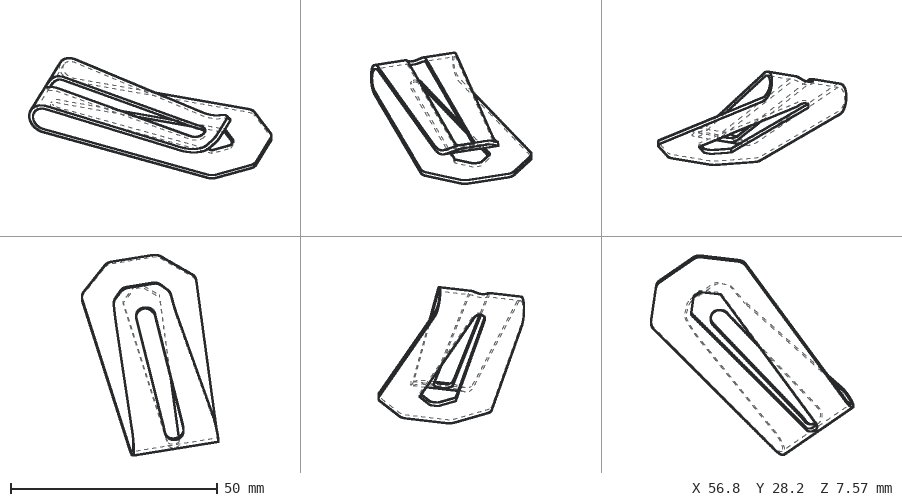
import cadquery as cq
import math


thickness = 1.0
clip_height = 7.57
clip_length = 56.76
arm_slope = math.radians(9.05)
curl_end_slope = math.radians(50.3)
curl_radius = 9.06
curl_gap = 0.05

side_taper = 0.0745
half_width_at_bend = 10.845
plate_end_half_width = 6.15
arm_end_half_width = 4.25
corner_radius = 2.5

plate_slot_tip_x = 48.7
plate_slot_tip_half_width = 0.95
plate_slot_tip_radius = 1.0
plate_slot_half_width = 1.43
plate_slot_round_s = 0.5
arm_slot_half_width = 2.335
arm_slot_start_s = 7.0
arm_slot_past_curl_start = 3.7

bend_outer_radius = clip_height / 2
bend_radius = bend_outer_radius - thickness / 2
bend_angle = math.pi + arm_slope
curl_angle = arm_slope + curl_end_slope
arm_start_x = bend_outer_radius + bend_radius * math.sin(arm_slope)
arm_start_z = bend_outer_radius + bend_radius * math.cos(arm_slope)
curl_center_z = thickness + thickness / 2 + curl_gap + curl_radius
curl_start_z = curl_center_z - curl_radius * math.cos(arm_slope)
arm_length = (arm_start_z - curl_start_z) / math.sin(arm_slope)
curl_center_x = arm_start_x + arm_length * math.cos(arm_slope) + curl_radius * math.sin(arm_slope)

plate_end_s = bend_outer_radius - clip_length
bend_end_s = bend_radius * bend_angle
curl_start_s = bend_end_s + arm_length
curl_end_s = curl_start_s + curl_radius * curl_angle

plate_direction = cq.Vector(1, 0, 0)
arm_direction = cq.Vector(math.cos(arm_slope), 0, -math.sin(arm_slope))
across = cq.Vector(0, 1, 0)


def blank_outline():
    """Long octagon with tapered sides and rounded 45 degree corners."""
    plate_shoulder_s = (half_width_at_bend - plate_end_half_width + plate_end_s) / (1 + side_taper)
    arm_shoulder_s = (curl_end_s + arm_end_half_width - half_width_at_bend) / (1 - side_taper)
    upper_points = [
        (plate_end_s, plate_end_half_width),
        (plate_shoulder_s, half_width_at_bend - side_taper * plate_shoulder_s),
        (arm_shoulder_s, half_width_at_bend - side_taper * arm_shoulder_s),
        (curl_end_s, arm_end_half_width),
    ]
    lower_points = [(s, -y) for s, y in reversed(upper_points)]
    outline = cq.Workplane().polyline(upper_points + lower_points).close().wire().val()
    return outline.fillet2D(corner_radius, outline.Vertices())


def plate_slot():
    """Slot widening toward a blunt 45 degree point, round where it enters the bend."""
    tip_s = bend_outer_radius - plate_slot_tip_x
    shoulder_s = (plate_slot_half_width - plate_slot_tip_half_width + tip_s) / (1 + side_taper)
    shoulder_half_width = plate_slot_half_width - side_taper * shoulder_s
    outline = (
        cq.Workplane()
        .moveTo(plate_slot_round_s, -plate_slot_half_width)
        .lineTo(shoulder_s, -shoulder_half_width)
        .lineTo(tip_s, -plate_slot_tip_half_width)
        .lineTo(tip_s, plate_slot_tip_half_width)
        .lineTo(shoulder_s, shoulder_half_width)
        .lineTo(plate_slot_round_s, plate_slot_half_width)
        .threePointArc(
            (plate_slot_round_s + plate_slot_half_width, 0),
            (plate_slot_round_s, -plate_slot_half_width),
        )
        .wire()
        .val()
    )
    tip_corners = [corner for corner in outline.Vertices() if corner.X < shoulder_s - plate_slot_tip_radius]
    return outline.fillet2D(plate_slot_tip_radius, tip_corners)


def arm_slot():
    """Straight slot with round ends, from the bend into the curl."""
    end_s = curl_start_s + arm_slot_past_curl_start
    middle_s = (arm_slot_start_s + end_s) / 2
    slot = cq.Workplane().center(middle_s, 0).slot2D(end_s - arm_slot_start_s, 2 * arm_slot_half_width)
    return slot.wire().val()


def stretch(start_s, end_s):
    """Part of the blank between two lengths, moved so that it starts at S = 0."""
    middle_s = (start_s + end_s) / 2
    border = cq.Workplane().center(middle_s, 0).rect(end_s - start_s, clip_length).wire().val()
    window = cq.Face.makeFromWires(border)
    return blank.intersect(window).translate(cq.Vector(-start_s, 0, 0)).Faces()


def flat_part(start_s, end_s, start_point, direction):
    """Flat sheet that starts at start_point and runs along direction."""
    plane = cq.Plane(start_point, direction, direction.cross(across))
    half_sheet = plane.zDir * (thickness / 2)
    faces = [face.moved(plane.location) for face in stretch(start_s, end_s)]
    return [cq.Solid.extrudeLinear(face.translate(-half_sheet), 2 * half_sheet) for face in faces]


def rolled_part(start_s, end_s, center, radius, direction, axis):
    """Sheet rolled about an axis through center, setting off along direction."""
    quarter_turn = math.pi / 2
    inner_radius = radius - thickness / 2
    drum = cq.Solid.makeCylinder(inner_radius, clip_length, cq.Vector(0, 0, -clip_length / 2))
    drum_face = drum.faces("%CYLINDER")
    length_to_angle = cq.Matrix(
        [
            [1 / radius, 0, 0, quarter_turn],
            [0, 1, 0, clip_length / 2],
            [0, 0, 1, 0],
        ]
    )
    plane = cq.Plane(center, -direction, axis)
    solids = []
    for face in stretch(start_s, end_s):
        wrapped = cq.occ_impl.shapes.faceOn(drum_face, face.transformGeometry(length_to_angle))
        solids.append(wrapped.thicken(thickness).moved(plane.location))
    return solids


blank = cq.Face.makeFromWires(blank_outline(), [plate_slot(), arm_slot()])

plate = flat_part(plate_end_s, 0, (clip_length, 0, thickness / 2), -plate_direction)
bend_center = (bend_outer_radius, 0, bend_outer_radius)
bend = rolled_part(0, bend_end_s, bend_center, bend_radius, -plate_direction, across)
arm = flat_part(bend_end_s, curl_start_s, (arm_start_x, 0, arm_start_z), arm_direction)
curl_center = (curl_center_x, 0, curl_center_z)
curl = rolled_part(curl_start_s, curl_end_s, curl_center, curl_radius, arm_direction, -across)
pieces = plate + bend + arm + curl
result = cq.Workplane(pieces[0].fuse(*pieces[1:]).Solids()[0])